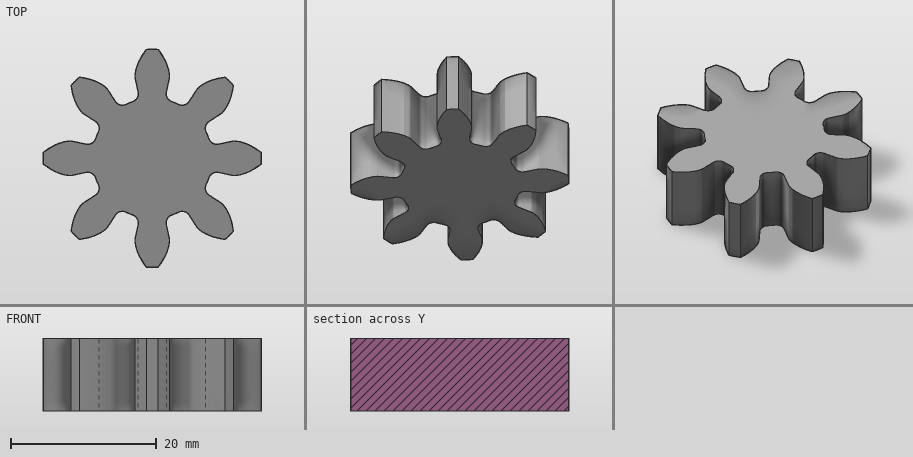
import cadquery as cq
import math

teeth = 8
module = 3.0
pressure_angle = math.radians(20)
face_width = 10.0
root_clearance = 0.75
root_fillet = 1.15

pitch_radius = module * teeth / 2
tip_radius = pitch_radius + module
root_radius = pitch_radius - module - root_clearance
base_radius = pitch_radius * math.cos(pressure_angle)
tooth_pitch = 2 * math.pi / teeth
flank_points = 9
flank_middle = flank_points // 2


def involute(angle):
    return math.tan(angle) - angle


base_half_angle = tooth_pitch / 4 + involute(pressure_angle)
tip_pressure_angle = math.acos(base_radius / tip_radius)


def polar(radius, angle):
    return (radius * math.cos(angle), radius * math.sin(angle))


def flank(center_angle, side):
    """Involute points from base circle to tip; side is -1 or +1."""
    points = []
    for i in range(flank_points):
        roll = math.tan(tip_pressure_angle) * i / (flank_points - 1)
        radius = base_radius * math.hypot(1, roll)
        half_angle = base_half_angle - involute(math.atan(roll))
        points.append(polar(radius, center_angle + side * half_angle))
    return points


def add_flank(outline, points):
    """Draw a tooth flank as two curves that meet at half the roll."""
    outline = outline.spline(points[1:flank_middle + 1], includeCurrent=True)
    return outline.spline(points[flank_middle + 1:], includeCurrent=True)


def gear_outline():
    """Closed outline: radial root flanks, involutes, tip arcs and root arcs."""
    outline = cq.Workplane("XY").moveTo(*polar(root_radius, -base_half_angle))
    for i in range(teeth):
        center = i * tooth_pitch
        rising = flank(center, -1)
        falling = flank(center, 1)[::-1]
        outline = outline.lineTo(*rising[0])
        outline = add_flank(outline, rising)
        outline = outline.threePointArc(polar(tip_radius, center), falling[0])
        outline = add_flank(outline, falling)
        outline = outline.lineTo(*polar(root_radius, center + base_half_angle))
        gap_center = polar(root_radius, center + tooth_pitch / 2)
        gap_end = polar(root_radius, center + tooth_pitch - base_half_angle)
        outline = outline.threePointArc(gap_center, gap_end)
    return outline.close()


gear = gear_outline().extrude(face_width)

selection_radius = (root_radius + base_radius) / 2
root_zone = cq.selectors.BoxSelector(
    (-selection_radius, -selection_radius, 0),
    (selection_radius, selection_radius, face_width),
)
result = gear.edges("|Z").edges(root_zone).fillet(root_fillet)